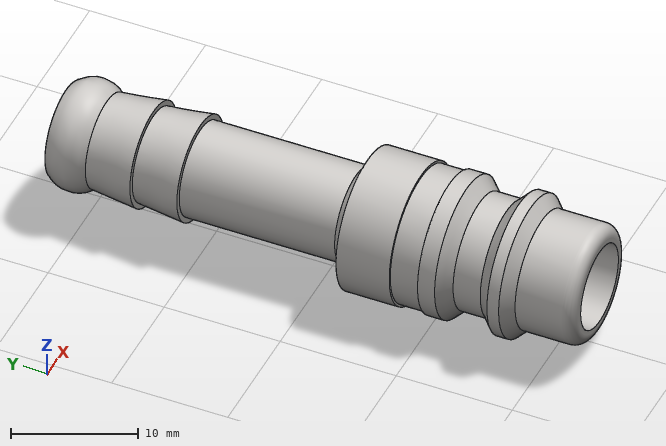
import cadquery as cq

length = 46.0
tip_y = -length / 2

collar_radius = 6.005
groove_band_radius = 5.8
neck_radius = 4.9
tip_radius = 5.0
tube_radius = 4.0
shoulder_radius = 4.95
barb_root_radius = 4.0
barb_crest_radius = 4.45
bead_radius = 4.7
bead_end_radius = 4.0
bore_radius = 3.2
tip_bore_radius = 3.6

tip_round = 1.0
rib_start = 5.0
rib_crest_start = 6.0
rib_crest_end = 7.0
rib_end = 8.05
flange_start = 10.4
flange_crest_start = 11.5
band_start = 12.95
band_end = 15.4
collar_end = 20.0
shoulder_end = 21.0
barb_start = 34.4
barb_length = 4.05
barb_count = 2
tip_bore_depth = 20.0

bead_start = barb_start + barb_count * barb_length
bead_middle = (bead_start + length) / 2


def draw_plug(outline):
    """Add the rounded tip, locking rib, flange, band and collar."""
    return (
        outline.lineTo(tip_radius - tip_round, 0)
        .radiusArc((tip_radius, tip_round), -tip_round)
        .lineTo(tip_radius, rib_start)
        .lineTo(collar_radius, rib_crest_start)
        .lineTo(collar_radius, rib_crest_end)
        .lineTo(neck_radius, rib_end)
        .lineTo(neck_radius, flange_start)
        .lineTo(collar_radius, flange_crest_start)
        .lineTo(collar_radius, band_start)
        .lineTo(groove_band_radius, band_start)
        .lineTo(groove_band_radius, band_end)
        .lineTo(collar_radius, band_end)
        .lineTo(collar_radius, collar_end)
        .lineTo(shoulder_radius, collar_end)
        .lineTo(tube_radius, shoulder_end)
    )


def draw_tail(outline):
    """Add the tube, the barbs and the bulged end bead."""
    outline = outline.lineTo(tube_radius, barb_start)
    for barb in range(barb_count):
        start = barb_start + barb * barb_length
        outline = outline.lineTo(barb_crest_radius, start)
        outline = outline.lineTo(barb_root_radius, start + barb_length)
    return outline.threePointArc((bead_radius, bead_middle), (bead_end_radius, length))


outline = cq.Workplane("XY").moveTo(tip_bore_radius, 0)
outline = draw_tail(draw_plug(outline))
outline = (
    outline.lineTo(bore_radius, length)
    .lineTo(bore_radius, tip_bore_depth)
    .lineTo(tip_bore_radius, tip_bore_depth)
    .close()
)

result = outline.revolve(360, (0, 0, 0), (0, 1, 0)).translate((0, tip_y, 0))